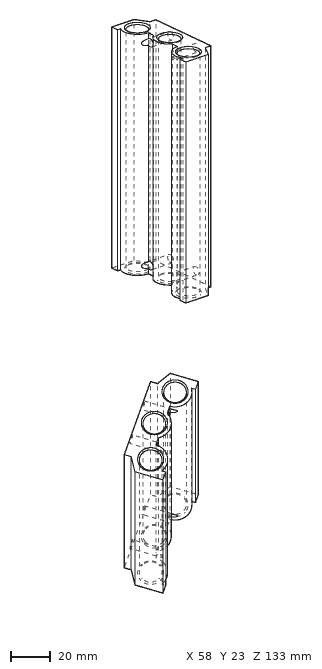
import cadquery as cq

WIDTH = 58.0
DEPTH = 23.0
LENGTH = 133.0

SHOULDER_WIDTH = 7.5
SHOULDER_STEP = 3.7
SIDE_HEIGHT = 14.9

FOOT_WIDTH = 4.7
BORE_SPACING = 20.0
OUTER_BORE_Y = 9.5
CENTER_BORE_Y = 14.0
WEB_FRONT_Y = OUTER_BORE_Y
BORE_WALL_DIAMETER = 17.2

BORE_DIAMETER = 11.5
COUNTERSINK = 0.86

MOUNT_HOLE_DIAMETER = 4.5
MOUNT_HOLE_X = BORE_SPACING / 2
MOUNT_HOLE_END_OFFSET = 5.0

BORE_CENTERS = [
    (-BORE_SPACING, OUTER_BORE_Y),
    (0, CENTER_BORE_Y),
    (BORE_SPACING, OUTER_BORE_Y),
]


def make_body():
    """Block with shoulders, feet and a web, plus the round walls of the bores."""
    half_width = WIDTH / 2
    foot_inner_x = half_width - FOOT_WIDTH
    shoulder_x = half_width - SHOULDER_WIDTH
    right_side = [
        (foot_inner_x, WEB_FRONT_Y),
        (foot_inner_x, 0),
        (half_width, 0),
        (half_width, SIDE_HEIGHT),
        (shoulder_x, DEPTH - SHOULDER_STEP),
        (shoulder_x, DEPTH),
    ]
    left_side = [(-x, y) for x, y in reversed(right_side)]
    block = cq.Workplane("XY").polyline(right_side + left_side).close().extrude(LENGTH)
    walls = cq.Workplane("XY").pushPoints(BORE_CENTERS).circle(BORE_WALL_DIAMETER / 2).extrude(LENGTH)
    return block.union(walls)


def make_bore(center):
    """Full-length bore with a 45 degree countersink at both ends."""
    radius = BORE_DIAMETER / 2
    mouth_radius = radius + COUNTERSINK
    half_section = [
        (0, 0),
        (mouth_radius, 0),
        (radius, COUNTERSINK),
        (radius, LENGTH - COUNTERSINK),
        (mouth_radius, LENGTH),
        (0, LENGTH),
    ]
    bore = cq.Workplane("XZ").polyline(half_section).close().revolve(360, (0, 0), (0, 1))
    return bore.translate((center[0], center[1], 0))


def make_mount_holes():
    """Four holes through the full depth, two near each end."""
    centers = [
        (x, z)
        for x in (-MOUNT_HOLE_X, MOUNT_HOLE_X)
        for z in (MOUNT_HOLE_END_OFFSET, LENGTH - MOUNT_HOLE_END_OFFSET)
    ]
    return cq.Workplane("XZ").pushPoints(centers).circle(MOUNT_HOLE_DIAMETER / 2).extrude(-DEPTH)


result = make_body()
for bore_center in BORE_CENTERS:
    result = result.cut(make_bore(bore_center))
result = result.cut(make_mount_holes())